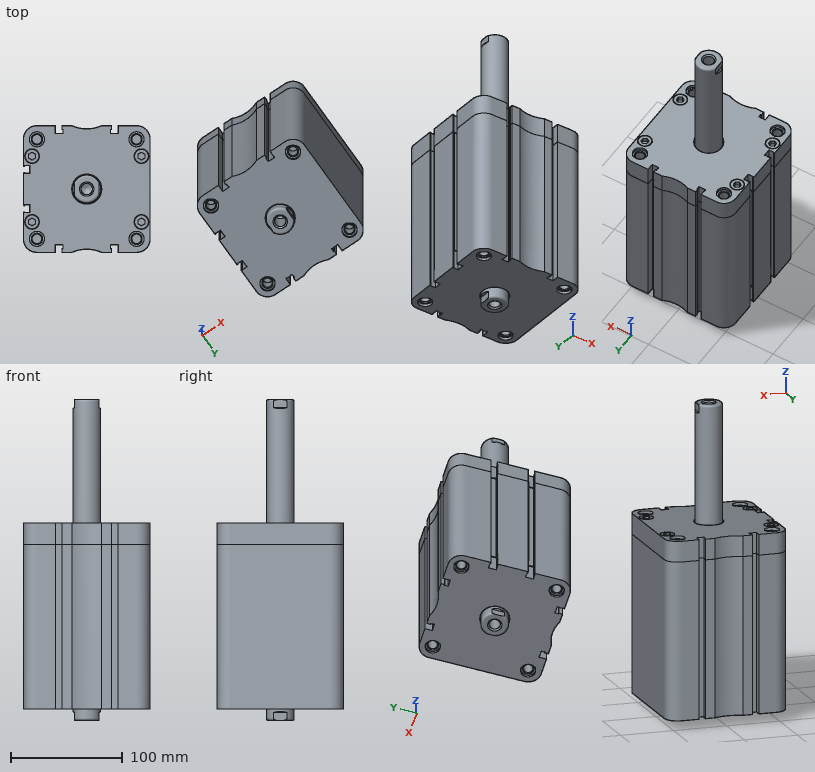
import cadquery as cq
import math

side = 113.5
half_side = side / 2
corner_radius = 12.25
housing_length = 166.5
end_length = 19.2
barrel_length = housing_length - 2 * end_length
cap_bottom = housing_length - end_length

channel_half_width = 13.4
channel_depth = 2.9

y_slot_outer = 28.1
y_slot_inner = 22.2
y_slot_undercut = 0.8
y_slot_lip = 3.6
y_slot_depth = 6.9

x_slot_outer = 20.3
x_slot_inner = 14.3
x_slot_undercut = 0.6
x_slot_lip = 1.2
end_slot_depth = 6.2
barrel_slot_depth = 5.4
barrel_lip_width = 0.7
barrel_lip_setback = 0.6

mount_position = half_side - corner_radius
mount_bore_diameter = 13.5
mount_bore_depth = 2.6
mount_hole_diameter = 8.57
mount_chamfer_diameter = 10.11
mount_hole_depth = 14.0

screw_x = 48.9
screw_y = 29.4
screw_head_diameter = 12.3
screw_head_height = 8.0
screw_recess_diameter = 13.1
socket_across_flats = 6.0
socket_depth = 4.0

rod_diameter = 25.0
rod_radius = rod_diameter / 2
rod_overhang_rear = 10.25
rod_overhang_front = 110.25
rod_length = rod_overhang_rear + housing_length + rod_overhang_front
rod_end_radius = 2.0
flat_across = 22.0
flat_length = 7.3
flat_runout = 0.8
rod_hole_diameter = 10.11
rod_hole_rim_diameter = 12.8
rod_hole_depth = 24.0
drill_point_angle = 118.0

rod_clearance_diameter = 25.6
rod_clearance_rim_diameter = 26.9
rod_clearance_depth = 4.0


def four_corners(x, y):
    return [(sx * x, sy * y) for sx in (-1, 1) for sy in (-1, 1)]


def chamfered_hole(diameter, rim_diameter, depth, point_depth=0.0):
    """Cutter for a blind hole going down from z = 0, with a 45 degree chamfer at its rim."""
    radius = diameter / 2
    rim_radius = rim_diameter / 2
    profile = (
        cq.Workplane("XZ")
        .lineTo(rim_radius, 0)
        .lineTo(radius, radius - rim_radius)
        .lineTo(radius, -depth)
        .lineTo(0, -depth - point_depth)
        .close()
    )
    return profile.revolve(360, (0, 0, 0), (0, 1, 0))


def box_between(x_range, y_range, length):
    """Box over the given X and Y ranges, standing on z = 0."""
    x0, x1 = x_range
    y0, y1 = y_range
    return cq.Workplane("XY").box(x1 - x0, y1 - y0, length, centered=False).translate((x0, y0, 0))


def y_face_cutter(length):
    """Channel and two sensor slots of the -Y face."""
    channel = (
        cq.Workplane("XY")
        .moveTo(-channel_half_width, -half_side)
        .threePointArc((0, -half_side + channel_depth), (channel_half_width, -half_side))
        .close()
        .extrude(length)
    )
    floor_y = -half_side + y_slot_depth
    lip_y = -half_side + y_slot_lip
    mouth = box_between((y_slot_inner, y_slot_outer), (-half_side, floor_y), length)
    chamber = box_between((y_slot_inner - y_slot_undercut, y_slot_outer), (lip_y, floor_y), length)
    slot = mouth.union(chamber)
    return channel.union(slot).union(slot.mirror("YZ"))


def x_slot_cutter(length, depth, lip_width):
    """Sensor slot of the -X face on the +Y side; lip_width narrows its mouth below the surface."""
    floor_x = -half_side + depth
    setback_x = -half_side + barrel_lip_setback
    lip_x = -half_side + x_slot_lip
    chamber_inner = x_slot_inner - x_slot_undercut + lip_width
    chamber_outer = x_slot_outer + x_slot_undercut
    entry = box_between((-half_side, setback_x), (x_slot_inner, x_slot_outer), length)
    mouth = box_between((-half_side, floor_x), (x_slot_inner + lip_width, x_slot_outer), length)
    chamber = box_between((lip_x, floor_x), (chamber_inner, chamber_outer), length)
    return entry.union(mouth).union(chamber)


def housing_section(length, slot_depth, lip_width):
    """Length of the housing profile with its channels and slots, standing on z = 0."""
    section = cq.Workplane("XY").rect(side, side).extrude(length)
    section = section.edges("|Z").fillet(corner_radius)
    y_cutter = y_face_cutter(length)
    x_cutter = x_slot_cutter(length, slot_depth, lip_width)
    for cutter in (y_cutter, x_cutter):
        section = section.cut(cutter).cut(cutter.mirror("XZ"))
    return section.cut(cq.Workplane("XY").circle(rod_radius).extrude(length))


def end_block():
    """End of the housing, its outer face up: mounting holes and clearance around the rod."""
    block = housing_section(end_length, end_slot_depth, 0.0)
    counterbore = cq.Workplane("XY").circle(mount_bore_diameter / 2).extrude(-mount_bore_depth)
    hole = chamfered_hole(mount_hole_diameter, mount_chamfer_diameter, mount_hole_depth)
    mount = counterbore.union(hole.translate((0, 0, -mount_bore_depth)))
    for x, y in four_corners(mount_position, mount_position):
        block = block.cut(mount.translate((x, y, end_length)))
    clearance = chamfered_hole(rod_clearance_diameter, rod_clearance_rim_diameter, rod_clearance_depth)
    return block.cut(clearance.translate((0, 0, end_length)))


def make_body():
    """Barrel and rear end in one piece; the unmerged faces keep the seam between them."""
    barrel = housing_section(barrel_length, barrel_slot_depth, barrel_lip_width)
    rear_end = end_block().mirror("XY").translate((0, 0, end_length))
    return rear_end.union(barrel.translate((0, 0, end_length)), clean=False)


def make_front_cap():
    recesses = (
        cq.Workplane("XY", origin=(0, 0, end_length))
        .pushPoints(four_corners(screw_x, screw_y))
        .circle(screw_recess_diameter / 2)
        .extrude(-screw_head_height)
    )
    return end_block().cut(recesses).translate((0, 0, cap_bottom))


def make_screw(x, y):
    """Flush screw head with a hexagon socket, two socket corners pointing along Y."""
    across_corners = socket_across_flats / math.cos(math.radians(30))
    head = cq.Workplane("XY").circle(screw_head_diameter / 2).extrude(-screw_head_height)
    socket = cq.Workplane("XY").polygon(6, across_corners).extrude(-socket_depth)
    head = head.cut(socket.rotate((0, 0, 0), (0, 0, 1), 90))
    return head.translate((x, y, housing_length))


def make_rod():
    rod = cq.Workplane("XY").circle(rod_radius).extrude(rod_length)
    rod = rod.faces("<Z or >Z").edges().fillet(rod_end_radius)
    point_depth = rod_hole_diameter / 2 / math.tan(math.radians(drill_point_angle / 2))
    tapped_hole = chamfered_hole(rod_hole_diameter, rod_hole_rim_diameter, rod_hole_depth, point_depth)
    flat = (
        cq.Workplane("XZ")
        .moveTo(flat_across / 2, 0)
        .lineTo(rod_radius, 0)
        .lineTo(rod_radius, -flat_length - flat_runout)
        .lineTo(flat_across / 2, -flat_length)
        .close()
        .extrude(rod_radius, both=True)
    )
    end_cutter = tapped_hole.union(flat).union(flat.mirror("YZ"))
    rod = rod.cut(end_cutter.translate((0, 0, rod_length))).cut(end_cutter.mirror("XY"))
    return rod.translate((0, 0, -rod_overhang_rear))


body = make_body().solids()
front_cap = make_front_cap().solids()
rod = make_rod().solids()
screws = [make_screw(x, y).solids() for x, y in four_corners(screw_x, screw_y)]

result = cq.Compound.makeCompound(
    [body.val(), front_cap.val(), rod.val(), *[screw.val() for screw in screws]]
)